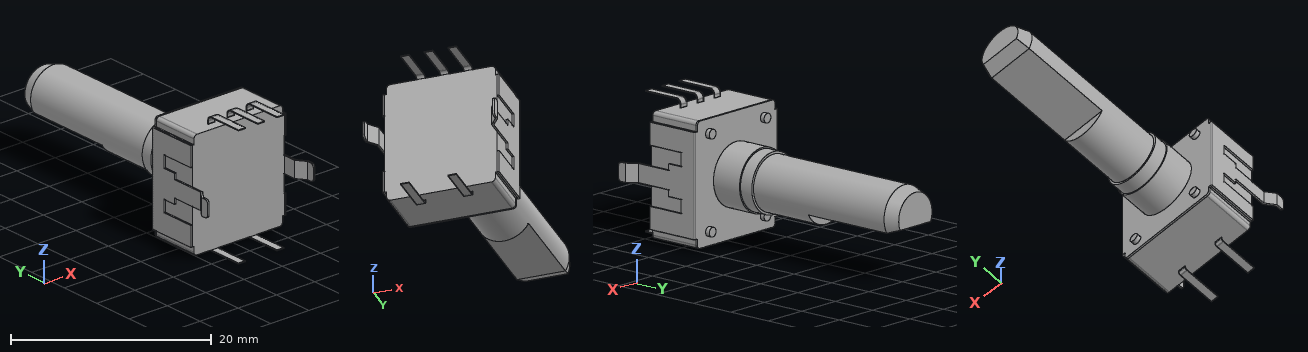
import cadquery as cq

TOTAL_LENGTH = 33.5
SHAFT_LENGTH = 24.0
LEG_REACH = TOTAL_LENGTH - SHAFT_LENGTH

SHAFT_DIAMETER = 6.0
SHAFT_TIP_TAPER_LENGTH = 1.5
SHAFT_TIP_TAPER_DEPTH = 0.5
FLAT_LENGTH = 12.0
FLAT_OFFSET = 1.5
COLLAR_DIAMETER = 6.5
COLLAR_END = 5.0
BUSHING_DIAMETER = 6.8
BUSHING_LENGTH = 3.5

SHEET = 0.2
HOUSING_WIDTH = 11.6
HOUSING_HEIGHT = 13.15
HOUSING_BACK = 6.0
CORNER_RADIUS = 0.4
BRACKET_WIDTH = 12.4
FLANGE_HEIGHT = 11.1
BEND_RADIUS = 0.1
WAIST_WIDTH = BRACKET_WIDTH - 2 * SHEET

NOTCH_START = 1.8
NOTCH_STEP = 3.5
NOTCH_OUTER_SPAN = 6.3
NOTCH_INNER_SPAN = 3.4

TAB_HEIGHT = 2.0
TAB_SPAN = 14.0
TAB_BEND_START = 7.5
TAB_BEND_END = 8.58
BEND_SHIFT = 0.07
TAB_CORNER_RADIUS = 0.4

PEG_DIAMETER = 1.0
PEG_LENGTH = 0.5
PEG_X = 4.1
PEG_Z = 5.05

LEG_WIDTH = 0.9
LEG_THICKNESS = 0.1
LEG_PITCH = 2.5
LEG_EXIT = 4.75
LEG_SPAN = 14.6
TOP_LEG_Z = 7.55
BOTTOM_LEG_Z = LEG_SPAN - TOP_LEG_Z
TOP_BEND_RADIUS = 0.6
BOTTOM_BEND_RADIUS = 0.3
LEG_ROOT = 0.17


def box(width, height, front, back):
    """Box centred on the shaft axis that runs from Y = front back to Y = back."""
    return (
        cq.Workplane("XZ", origin=(0, front, 0))
        .rect(width, height)
        .extrude(front - back)
    )


def cross_section(front, back, waist_width):
    """Rounded housing outline, widened to waist_width over the flange height."""
    core = box(HOUSING_WIDTH, HOUSING_HEIGHT, front, back).edges("|Y").fillet(CORNER_RADIUS)
    return core.union(box(waist_width, FLANGE_HEIGHT, front, back))


def round_bar(diameter, length):
    return cq.Workplane("XZ").circle(diameter / 2).extrude(-length)


def make_shaft():
    """Shaft with a tapered tip and a flat on its underside that tapers with the tip."""
    radius = SHAFT_DIAMETER / 2
    taper_start = SHAFT_LENGTH - SHAFT_TIP_TAPER_LENGTH
    shaft = (
        cq.Workplane("XY")
        .lineTo(radius, 0)
        .lineTo(radius, taper_start)
        .lineTo(radius - SHAFT_TIP_TAPER_DEPTH, SHAFT_LENGTH)
        .lineTo(0, SHAFT_LENGTH)
        .close()
        .revolve(360, (0, 0, 0), (0, 1, 0))
    )
    flat_cut = (
        cq.Workplane("YZ")
        .moveTo(SHAFT_LENGTH - FLAT_LENGTH, -FLAT_OFFSET)
        .lineTo(taper_start, -FLAT_OFFSET)
        .lineTo(SHAFT_LENGTH, SHAFT_TIP_TAPER_DEPTH - FLAT_OFFSET)
        .lineTo(SHAFT_LENGTH, -radius)
        .lineTo(SHAFT_LENGTH - FLAT_LENGTH, -radius)
        .close()
        .extrude(radius, both=True)
    )
    return shaft.cut(flat_cut)


def make_pegs():
    return (
        cq.Workplane("XZ")
        .rect(2 * PEG_X, 2 * PEG_Z, forConstruction=True)
        .vertices()
        .circle(PEG_DIAMETER / 2)
        .extrude(-PEG_LENGTH)
    )


def make_flange():
    """Flange on the +X side with its cranked mounting tab."""
    outer = BRACKET_WIDTH / 2
    inner = outer - SHEET
    tab_outer = TAB_SPAN / 2
    tab_inner = tab_outer - SHEET
    strip = (
        cq.Workplane("XY")
        .moveTo(inner, 0)
        .lineTo(outer, 0)
        .lineTo(outer, -TAB_BEND_START)
        .lineTo(tab_outer, -TAB_BEND_END)
        .lineTo(tab_outer, -LEG_REACH)
        .lineTo(tab_inner, -LEG_REACH)
        .lineTo(tab_inner, -TAB_BEND_END - BEND_SHIFT)
        .lineTo(inner, -TAB_BEND_START - BEND_SHIFT)
        .close()
        .extrude(FLANGE_HEIGHT / 2, both=True)
    )
    half_pattern = [
        (0, FLANGE_HEIGHT / 2),
        (-HOUSING_BACK, FLANGE_HEIGHT / 2),
        (-HOUSING_BACK, NOTCH_OUTER_SPAN / 2),
        (-NOTCH_START, NOTCH_OUTER_SPAN / 2),
        (-NOTCH_START, NOTCH_INNER_SPAN / 2),
        (-NOTCH_STEP, NOTCH_INNER_SPAN / 2),
        (-NOTCH_STEP, TAB_HEIGHT / 2),
        (-LEG_REACH, TAB_HEIGHT / 2),
    ]
    mirrored_half = [(y, -z) for y, z in reversed(half_pattern)]
    pattern = (
        cq.Workplane("YZ")
        .polyline(half_pattern + mirrored_half)
        .close()
        .extrude(TAB_SPAN)
        .faces("<Y")
        .edges("|X")
        .fillet(TAB_CORNER_RADIUS)
    )
    return strip.intersect(pattern)


def make_bracket():
    """Mounting plate with bushing, shaft, pegs and two side flanges."""
    bracket = cross_section(0, -SHEET, BRACKET_WIDTH)
    flange = make_flange()
    bracket = bracket.union(flange).union(flange.mirror("YZ"))
    for side in (">X", "<X"):
        bracket = bracket.edges("|Z").edges(">Y").edges(side).fillet(BEND_RADIUS)
    bracket = bracket.union(round_bar(BUSHING_DIAMETER, BUSHING_LENGTH))
    bracket = bracket.union(round_bar(COLLAR_DIAMETER, COLLAR_END))
    return bracket.union(make_shaft()).union(make_pegs())


def make_leg(x, outer_z, bend_radius):
    """Leg that rises from the housing top at the given x and bends back to -Y."""
    root_z = HOUSING_HEIGHT / 2 - LEG_ROOT
    inner_radius = bend_radius - LEG_THICKNESS
    bend_y = -LEG_EXIT - bend_radius
    bend_z = outer_z - bend_radius
    return (
        cq.Workplane("YZ", origin=(x, 0, 0))
        .moveTo(-LEG_EXIT, root_z)
        .lineTo(-LEG_EXIT, bend_z)
        .radiusArc((bend_y, outer_z), -bend_radius)
        .lineTo(-LEG_REACH, outer_z)
        .lineTo(-LEG_REACH, outer_z - LEG_THICKNESS)
        .lineTo(bend_y, outer_z - LEG_THICKNESS)
        .radiusArc((-LEG_EXIT - LEG_THICKNESS, bend_z), inner_radius)
        .lineTo(-LEG_EXIT - LEG_THICKNESS, root_z)
        .close()
        .extrude(LEG_WIDTH / 2, both=True)
    )


def make_housing():
    """Housing block behind the plate with three legs on top and two below."""
    housing = cross_section(-SHEET, -HOUSING_BACK, WAIST_WIDTH)
    for x in (-LEG_PITCH, 0, LEG_PITCH):
        housing = housing.union(make_leg(x, TOP_LEG_Z, TOP_BEND_RADIUS))
    for x in (-LEG_PITCH, LEG_PITCH):
        housing = housing.union(make_leg(x, BOTTOM_LEG_Z, BOTTOM_BEND_RADIUS).mirror("XY"))
    return housing


bracket = make_bracket()
housing = make_housing()

result = cq.Compound.makeCompound([bracket.solids().val(), housing.solids().val()])